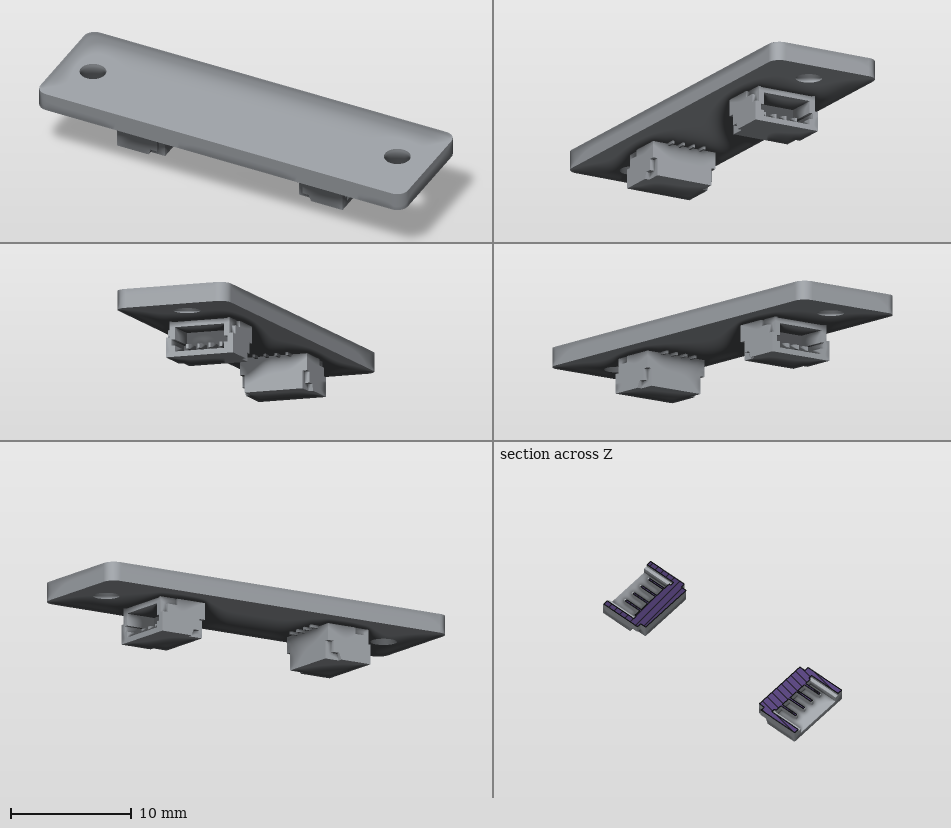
import cadquery as cq

BOARD_LENGTH = 34.0
BOARD_WIDTH = 10.0
BOARD_THICKNESS = 1.6
BOARD_CORNER_RADIUS = 1.0
HOLE_DIAMETER = 2.2
HOLE_CENTRES = [(-14.0, -0.3), (14.0, 0.0)]

MOUTH_DISTANCE = 10.45
HOUSING_DEPTH = 4.25
HOUSING_WIDTH = 6.0
HOUSING_HEIGHT = 2.92
SOLDER_GAP = 0.07
STANDOFF = 0.15

CAVITY_WIDTH = 4.4
CAVITY_HEIGHT = 2.05
CAVITY_DEPTH = 2.72
CAVITY_ROOF = 0.45

KEY_SLOT_WIDTH = 0.3
KEY_SLOT_HEIGHT = 0.5
KEY_SLOT_DEPTH = 2.9
KEY_SLOT_DROP = 1.45

FLANK_CUT = 0.3
TAB_THICKNESS = 0.2
TAB_LENGTH = 1.53
TAB_HEIGHT = 0.55
TAB_LEG_LENGTH = 0.55
TAB_LEG_HEIGHT = 1.25

REAR_CUT_DEPTH = 0.4
REAR_CUT_LENGTH = 0.55
REAR_CUT_HEIGHT = 1.5
REAR_TOE_LENGTH = 1.33
REAR_TOE_HEIGHT = 0.55
REAR_TOE_SLANT = 0.2

PIN_COUNT = 4
PIN_PITCH = 1.0
PIN_WIDTH = 0.2
PIN_HEIGHT = 0.48
PIN_DROP = 1.63
PIN_LENGTH = 1.7
PIN_TAPER_DROP = 0.1
PIN_TAPER_LENGTH = 0.55
FOOT_LENGTH = 0.75
FOOT_HEIGHT = 0.25

BOARD_BOTTOM = -BOARD_THICKNESS
SOLDER_Z = BOARD_BOTTOM - SOLDER_GAP
HOUSING_TOP = BOARD_BOTTOM - STANDOFF
HOUSING_BOTTOM = HOUSING_TOP - HOUSING_HEIGHT
MOUTH_X = -MOUTH_DISTANCE
REAR_X = MOUTH_X + HOUSING_DEPTH


def block(x, y_centre, z_top, length, width, height):
    """Box that starts at x, is centred on y_centre and hangs down from z_top."""
    return (
        cq.Workplane("XY")
        .box(length, width, height, centered=(False, True, False))
        .translate((x, y_centre, z_top - height))
    )


def flank_plate(outline, y_inner, thickness, side):
    """X-Z outline extruded outwards from y_inner on the flank given by side (-1 or 1)."""
    plate = cq.Workplane("XZ", origin=(0, side * y_inner, 0))
    return plate.polyline(outline).close().extrude(-side * thickness)


def tab_outline(top):
    """Stepped outline shared by the solder tab and the flank cut that it lines."""
    arm_bottom = HOUSING_TOP - TAB_HEIGHT
    leg_bottom = HOUSING_TOP - TAB_LEG_HEIGHT
    return [
        (MOUTH_X, top),
        (MOUTH_X + TAB_LENGTH, top),
        (MOUTH_X + TAB_LENGTH, arm_bottom),
        (MOUTH_X + TAB_LEG_LENGTH, arm_bottom),
        (MOUTH_X + TAB_LEG_LENGTH, leg_bottom),
        (MOUTH_X, leg_bottom),
    ]


def rear_outline():
    """Stepped outline of the rear flank cut, with a slanted toe."""
    toe_x = REAR_X - REAR_TOE_LENGTH
    toe_top = HOUSING_BOTTOM + REAR_TOE_HEIGHT
    return [
        (REAR_X, HOUSING_BOTTOM),
        (toe_x, HOUSING_BOTTOM),
        (toe_x + REAR_TOE_SLANT, toe_top),
        (REAR_X - REAR_CUT_LENGTH, toe_top),
        (REAR_X - REAR_CUT_LENGTH, HOUSING_BOTTOM + REAR_CUT_HEIGHT),
        (REAR_X, HOUSING_BOTTOM + REAR_CUT_HEIGHT),
    ]


def pin_taper(x, y):
    """Wedge removed from the top of a pin so that it thins towards its tip."""
    pin_top = HOUSING_TOP - PIN_DROP
    profile = [(x, pin_top), (x + PIN_TAPER_LENGTH, pin_top), (x, pin_top - PIN_TAPER_DROP)]
    return cq.Workplane("XZ", origin=(0, y, 0)).polyline(profile).close().extrude(PIN_WIDTH / 2, both=True)


def make_board():
    board = block(-BOARD_LENGTH / 2, 0, 0, BOARD_LENGTH, BOARD_WIDTH, BOARD_THICKNESS)
    board = board.edges("|Z").fillet(BOARD_CORNER_RADIUS)
    return board.faces(">Z").workplane(origin=(0, 0, 0)).pushPoints(HOLE_CENTRES).hole(HOLE_DIAMETER)


def make_connector():
    """Connector with its mouth towards -X."""
    body = block(MOUTH_X, 0, HOUSING_TOP, HOUSING_DEPTH, HOUSING_WIDTH, HOUSING_HEIGHT)
    cavity_top = HOUSING_TOP - CAVITY_ROOF
    body = body.cut(block(MOUTH_X, 0, cavity_top, CAVITY_DEPTH, CAVITY_WIDTH, CAVITY_HEIGHT))

    slot_y = (CAVITY_WIDTH + KEY_SLOT_WIDTH) / 2
    slot_top = HOUSING_TOP - KEY_SLOT_DROP
    for side in (-1, 1):
        slot = block(MOUTH_X, side * slot_y, slot_top, KEY_SLOT_DEPTH, KEY_SLOT_WIDTH, KEY_SLOT_HEIGHT)
        body = body.cut(slot)

    cut_inner_y = HOUSING_WIDTH / 2 - FLANK_CUT
    rear_inner_y = HOUSING_WIDTH / 2 - REAR_CUT_DEPTH
    tab_inner_y = cut_inner_y - TAB_THICKNESS
    for side in (-1, 1):
        body = body.cut(flank_plate(tab_outline(HOUSING_TOP), cut_inner_y, FLANK_CUT, side))
        body = body.cut(flank_plate(rear_outline(), rear_inner_y, REAR_CUT_DEPTH, side))
        body = body.union(flank_plate(tab_outline(SOLDER_Z), tab_inner_y, TAB_THICKNESS, side))

    pin_x = MOUTH_X + CAVITY_DEPTH - PIN_LENGTH
    for number in range(PIN_COUNT):
        y = (number - (PIN_COUNT - 1) / 2) * PIN_PITCH
        pin = block(pin_x, y, HOUSING_TOP - PIN_DROP, PIN_LENGTH, PIN_WIDTH, PIN_HEIGHT)
        body = body.union(pin.cut(pin_taper(pin_x, y)))
        body = body.union(block(REAR_X, y, SOLDER_Z, FOOT_LENGTH, PIN_WIDTH, FOOT_HEIGHT))
    return body


board = make_board()
connectors = []
for turn in (0, 180):
    connector = make_connector().rotate((0, 0, 0), (0, 0, 1), turn)
    connectors.append(connector.val())

result = cq.Compound.makeCompound([board.val(), *connectors])